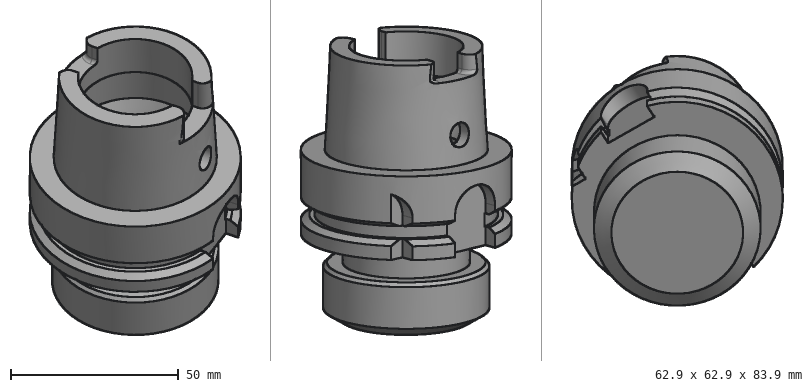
import cadquery as cq
import math

TOTAL_HEIGHT = 83.9
NUT_CHAMFER_TOP = 3.3
NUT_TOP = 17.3
FLANGE_BOTTOM = 26.2
GROOVE_BOTTOM = 32.0
GROOVE_TOP = 36.0
FLANGE_TOP = 52.0

NUT_RADIUS = 49.7 / 2
NUT_BOTTOM_RADIUS = 19.6
NUT_TOP_CHAMFER = 1.2
NECK_RADIUS = 38.0 / 2
NECK_FILLET = 1.0
FLANGE_RADIUS = 62.9 / 2
GROOVE_RADIUS = 27.35
GROOVE_CHAMFER_WIDTH = 2.5
GROOVE_CHAMFER_HEIGHT = 1.5
TAPER_BASE_RADIUS = 24.3
TAPER_TOP_RADIUS = 22.7

BORE_RADIUS = 34.1 / 2
BORE_LIP = 70.8
CAVITY_RADIUS = 40.1 / 2
CAVITY_BOTTOM = 57.9
CAVITY_CONE_HEIGHT = 5.0
RECESS_FLOOR = 50.3
RECESS_FILLET = 1.3
CROSS_HOLE_DIAMETER = 7.5
CROSS_HOLE_HEIGHT = 61.2

RIM_SLOT_HALF_WIDTH = 6.2
RIM_SLOT_CORNER_RADIUS = 3.1
RIM_SLOT_CORNER_X = 17.8
RIM_SLOT_FLOOR_LEFT = 77.95
RIM_SLOT_FLOOR_RIGHT = 74.0
RIM_SLOT_FLOOR_FILLET = 1.3

FLANGE_SLOT_RADIUS = 8.05
FLANGE_SLOT_FLOOR = 26.3
FLANGE_SLOT_SPRING = 39.2
NOTCH_FLOOR_X = 20.0
NOTCH_WALL_Y = 19.8

CLEARANCE = 4.2


def turned_body():
    groove_edge = FLANGE_RADIUS - GROOVE_CHAMFER_WIDTH
    arc_middle = NECK_FILLET * (1 - math.sqrt(0.5))
    return (
        cq.Workplane("XZ")
        .lineTo(NUT_BOTTOM_RADIUS, 0)
        .lineTo(NUT_RADIUS, NUT_CHAMFER_TOP)
        .lineTo(NUT_RADIUS, NUT_TOP - NUT_TOP_CHAMFER)
        .lineTo(NUT_RADIUS - NUT_TOP_CHAMFER, NUT_TOP)
        .lineTo(NECK_RADIUS, NUT_TOP)
        .lineTo(NECK_RADIUS, FLANGE_BOTTOM - NECK_FILLET)
        .threePointArc(
            (NECK_RADIUS + arc_middle, FLANGE_BOTTOM - arc_middle),
            (NECK_RADIUS + NECK_FILLET, FLANGE_BOTTOM),
        )
        .lineTo(FLANGE_RADIUS, FLANGE_BOTTOM)
        .lineTo(FLANGE_RADIUS, GROOVE_BOTTOM - GROOVE_CHAMFER_HEIGHT)
        .lineTo(groove_edge, GROOVE_BOTTOM)
        .lineTo(GROOVE_RADIUS, GROOVE_BOTTOM)
        .lineTo(GROOVE_RADIUS, GROOVE_TOP)
        .lineTo(groove_edge, GROOVE_TOP)
        .lineTo(FLANGE_RADIUS, GROOVE_TOP + GROOVE_CHAMFER_HEIGHT)
        .lineTo(FLANGE_RADIUS, FLANGE_TOP)
        .lineTo(TAPER_BASE_RADIUS, FLANGE_TOP)
        .lineTo(TAPER_TOP_RADIUS, TOTAL_HEIGHT)
        .lineTo(0, TOTAL_HEIGHT)
        .close()
        .revolve(360, (0, 0, 0), (0, 1, 0))
    )


def shank_cavity():
    """Bore with a wide undercut that tapers back into a round-edged blind recess."""
    profile = (
        cq.Workplane("XZ")
        .moveTo(0, RECESS_FLOOR)
        .lineTo(BORE_RADIUS, RECESS_FLOOR)
        .lineTo(BORE_RADIUS, CAVITY_BOTTOM - CAVITY_CONE_HEIGHT)
        .lineTo(CAVITY_RADIUS, CAVITY_BOTTOM)
        .lineTo(CAVITY_RADIUS, BORE_LIP)
        .lineTo(BORE_RADIUS, BORE_LIP)
        .lineTo(BORE_RADIUS, TOTAL_HEIGHT)
        .lineTo(0, TOTAL_HEIGHT)
        .close()
    )
    return profile.revolve(360, (0, 0, 0), (0, 1, 0)).faces("<Z").edges().fillet(RECESS_FILLET)


def cross_hole():
    return (
        cq.Workplane("YZ")
        .center(0, CROSS_HOLE_HEIGHT)
        .circle(CROSS_HOLE_DIAMETER / 2)
        .extrude(FLANGE_RADIUS, both=True)
    )


def rim_slot(floor):
    """Cutter on the +X side whose mouth flares along rounded corners."""
    corner_y = RIM_SLOT_HALF_WIDTH + RIM_SLOT_CORNER_RADIUS
    end_angle = math.atan2(corner_y, RIM_SLOT_CORNER_X)
    middle_angle = (end_angle - math.pi / 2) / 2

    def corner_point(angle):
        x = RIM_SLOT_CORNER_X + RIM_SLOT_CORNER_RADIUS * math.cos(angle)
        y = corner_y + RIM_SLOT_CORNER_RADIUS * math.sin(angle)
        return x, y

    middle_x, middle_y = corner_point(middle_angle)
    end_x, end_y = corner_point(end_angle)
    outer_x = FLANGE_RADIUS
    outer_y = outer_x * math.tan(end_angle)
    return (
        cq.Workplane("XY")
        .workplane(offset=floor)
        .moveTo(0, -RIM_SLOT_HALF_WIDTH)
        .lineTo(RIM_SLOT_CORNER_X, -RIM_SLOT_HALF_WIDTH)
        .threePointArc((middle_x, -middle_y), (end_x, -end_y))
        .lineTo(outer_x, -outer_y)
        .lineTo(outer_x, outer_y)
        .lineTo(end_x, end_y)
        .threePointArc((middle_x, middle_y), (RIM_SLOT_CORNER_X, RIM_SLOT_HALF_WIDTH))
        .lineTo(0, RIM_SLOT_HALF_WIDTH)
        .close()
        .extrude(TOTAL_HEIGHT + CLEARANCE - floor)
    )


def round_topped_slot(floor_x, center_y):
    """Cutter on the -X side, open downward, running outward from its floor."""
    height = FLANGE_SLOT_SPRING - FLANGE_BOTTOM
    return (
        cq.Workplane("YZ")
        .workplane(offset=-floor_x)
        .moveTo(center_y - FLANGE_SLOT_RADIUS, FLANGE_BOTTOM)
        .lineTo(center_y + FLANGE_SLOT_RADIUS, FLANGE_BOTTOM)
        .line(0, height)
        .threePointArc(
            (center_y, FLANGE_SLOT_SPRING + FLANGE_SLOT_RADIUS),
            (center_y - FLANGE_SLOT_RADIUS, FLANGE_SLOT_SPRING),
        )
        .close()
        .extrude(floor_x - FLANGE_RADIUS - CLEARANCE)
    )


def half_turn(shape):
    return shape.rotate((0, 0, 0), (0, 0, 1), 180)


right_rim_slot = rim_slot(RIM_SLOT_FLOOR_RIGHT)
left_rim_cutter = rim_slot(RIM_SLOT_FLOOR_LEFT).faces("<Z").edges().fillet(RIM_SLOT_FLOOR_FILLET)
left_rim_slot = half_turn(left_rim_cutter)
flange_slot = round_topped_slot(FLANGE_SLOT_FLOOR, 0)
corner_notch = round_topped_slot(NOTCH_FLOOR_X, NOTCH_WALL_Y + FLANGE_SLOT_RADIUS)

result = (
    turned_body()
    .cut(shank_cavity())
    .cut(cross_hole())
    .cut(right_rim_slot)
    .cut(left_rim_slot)
    .cut(flange_slot)
    .cut(half_turn(flange_slot))
    .cut(corner_notch)
)